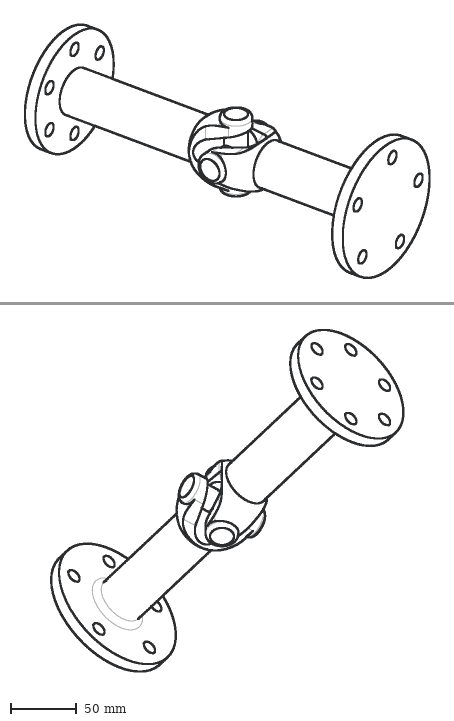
import cadquery as cq
import math


overall_length = 304.2
left_reach = 162.5
right_reach = overall_length - left_reach
tube_radius = 19.2
flange_thickness = 10.0
left_flange_radius = 50.2
right_flange_radius = 55.7
hole_diameter = 10.5
left_bolt_circle_radius = 37.0
left_hole_count = 6
left_first_hole_angle = 30
right_bolt_circle_radius = 41.7
right_hole_count = 5
right_first_hole_angle = 7
neck_fillet = 5.0

pin_radius = 9.0
pin_reach = 33.5

boss_fillet = 3.3
boss_radius = pin_radius + boss_fillet
dome_radius = 30.5
dome_setback = 7.0
side_taper = 10
flare_start = 17.0
flare_radius = 20.5
leg_angle = 20
leg_height_at_joint = 18.5
floor_depth_middle = 19.5
floor_depth_edge = 25.0
floor_depth_side = 26.0
floor_edge_offset = 15.2
floor_side_offset = 21.3

taper = math.radians(side_taper)
tangent_x = boss_radius * math.sin(taper)
tangent_y = boss_radius * math.cos(taper)
dome_start = -dome_setback - math.sqrt(dome_radius**2 - tube_radius**2)


def dome():
    """Rounded yoke blank: a spherical back end and a short cylinder that stops inside the bosses."""
    mid_angle = (math.pi / 2 + math.atan2(tube_radius, dome_start + dome_setback)) / 2
    return (
        cq.Workplane("XY")
        .moveTo(dome_start, 0)
        .lineTo(dome_start, tube_radius)
        .threePointArc(
            (-dome_setback + dome_radius * math.cos(mid_angle), dome_radius * math.sin(mid_angle)),
            (-dome_setback, dome_radius),
        )
        .lineTo(tangent_x, dome_radius)
        .lineTo(tangent_x, 0)
        .close()
        .revolve(360, (0, 0, 0), (1, 0, 0))
    )


def arm_outline():
    """Prism of the arm outline: sides tangent to the boss that flare out towards the tube."""
    flare_x = -flare_start
    flare_y = tangent_y + (tangent_x + flare_start) * math.tan(taper)
    centre_x = flare_x + flare_radius * math.sin(taper)
    centre_y = flare_y + flare_radius * math.cos(taper)

    def on_flare(x):
        return (x, centre_y - math.sqrt(flare_radius**2 - (x - centre_x) ** 2))

    def mirrored(point):
        return (point[0], -point[1])

    flare_middle = on_flare((flare_x + dome_start) / 2)
    flare_end = on_flare(dome_start)
    return (
        cq.Workplane("XY")
        .moveTo(tangent_x, tangent_y)
        .lineTo(flare_x, flare_y)
        .threePointArc(flare_middle, flare_end)
        .lineTo(*mirrored(flare_end))
        .threePointArc(mirrored(flare_middle), (flare_x, -flare_y))
        .lineTo(tangent_x, -tangent_y)
        .threePointArc((boss_radius, 0), (tangent_x, tangent_y))
        .close()
        .extrude(dome_radius, both=True)
    )


def gap_section(offset, floor_depth):
    """U-shaped section of the gap between the arms: two spread legs and a tangent floor arc."""
    angle = math.radians(leg_angle)
    leg_distance = leg_height_at_joint * math.cos(angle)
    centre_x = (leg_distance - floor_depth) / (1 - math.sin(angle))
    floor_radius = centre_x + floor_depth
    floor_end_x = centre_x - floor_radius * math.sin(angle)
    floor_end_z = floor_radius * math.cos(angle)
    mouth_x = 2 * boss_radius
    mouth_z = leg_height_at_joint + mouth_x * math.tan(angle)
    return (
        cq.Workplane("XZ", origin=(0, offset, 0))
        .moveTo(mouth_x, mouth_z)
        .lineTo(floor_end_x, floor_end_z)
        .threePointArc((-floor_depth, 0), (floor_end_x, -floor_end_z))
        .lineTo(mouth_x, -mouth_z)
        .close()
        .wire()
        .val()
    )


def arm_gap():
    """Gap between the arms, its floor crowned across the width."""
    sections = [
        gap_section(-floor_side_offset, floor_depth_side),
        gap_section(-floor_edge_offset, floor_depth_edge),
        gap_section(0, floor_depth_middle),
        gap_section(floor_edge_offset, floor_depth_edge),
        gap_section(floor_side_offset, floor_depth_side),
    ]
    return cq.Workplane(cq.Solid.makeLoft(sections))


def pin(plane):
    """Straight pin through the joint centre, normal to the given plane."""
    return cq.Workplane(plane).circle(pin_radius).extrude(pin_reach, both=True)


def yoke_head():
    """Yoke head on a shaft towards -X, with its pin bore along Z."""
    bosses = cq.Workplane("XY").circle(boss_radius).extrude(pin_reach, both=True)
    bosses = bosses.faces("|Z").edges().fillet(boss_fillet)
    arms = dome().intersect(arm_outline()).union(bosses)
    return arms.cut(arm_gap()).cut(pin("XY"))


def flange(face_x, radius, bolt_circle_radius, hole_count, first_hole_angle):
    """Drilled disc that starts at face_x; hole angles run from +Y towards +Z."""
    disc = cq.Workplane("YZ", origin=(face_x, 0, 0)).circle(radius).extrude(flange_thickness)
    holes = (
        cq.Workplane("YZ", origin=(face_x, 0, 0))
        .polarArray(bolt_circle_radius, first_hole_angle, 360, hole_count)
        .circle(hole_diameter / 2)
        .extrude(flange_thickness)
    )
    return disc.cut(holes)


def tube(start_x, end_x):
    """Round shaft between two positions along X."""
    return cq.Workplane("YZ", origin=(start_x, 0, 0)).circle(tube_radius).extrude(end_x - start_x)


def neck(face_x):
    """Concave fillet ring from the tube up to a flange face at face_x."""
    return (
        cq.Workplane("XY")
        .moveTo(face_x - neck_fillet, 0)
        .lineTo(face_x - neck_fillet, tube_radius)
        .radiusArc((face_x, tube_radius + neck_fillet), -neck_fillet)
        .lineTo(face_x, 0)
        .close()
        .revolve(360, (0, 0, 0), (1, 0, 0))
    )


def left_yoke():
    """Left shaft with its flange and a yoke that holds the vertical pin."""
    plate = flange(
        -left_reach, left_flange_radius, left_bolt_circle_radius, left_hole_count, left_first_hole_angle
    )
    shaft = tube(-left_reach + flange_thickness, dome_start)
    return plate.union(shaft).union(yoke_head())


def right_yoke():
    """Right shaft with its flange and a yoke turned to hold the pin along Y."""
    face_x = right_reach - flange_thickness
    plate = flange(
        face_x, right_flange_radius, right_bolt_circle_radius, right_hole_count, right_first_hole_angle
    )
    shaft = tube(-dome_start, face_x)
    head = yoke_head().rotate((0, 0, 0), (0, 0, 1), 180).rotate((0, 0, 0), (1, 0, 0), 90)
    return plate.union(neck(face_x)).union(shaft).union(head)


def cross():
    """Two crossed pins of equal size, flush with the boss faces."""
    return pin("XY").union(pin("XZ"))


result = cq.Compound.makeCompound([left_yoke().val(), right_yoke().val(), cross().val()])